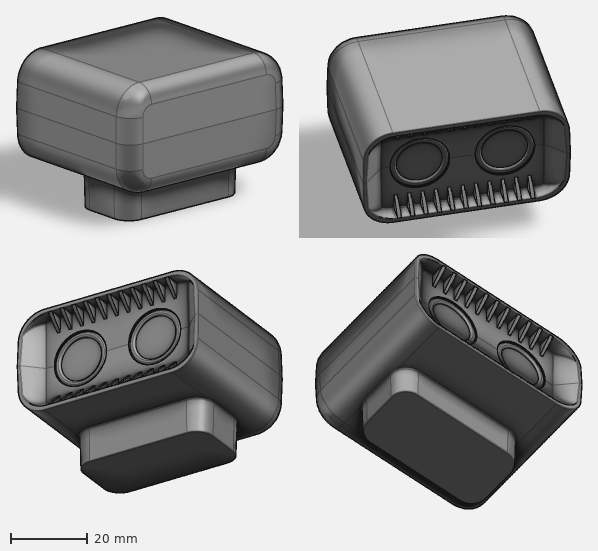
import cadquery as cq
import math

draft_angle = 1.5

body_width = 56.0
body_half_height = 15.0
back_x = 20.05
mouth_x = -25.25
body_corner_radius = 8.0
back_edge_radius = 5.0
mouth_edge_radius = 0.15

pocket_depth = 5.0
pocket_mouth_width = 54.0
pocket_half_height = 13.7
pocket_outline_width = 54.1
pocket_corner_radius = body_corner_radius
pocket_floor_draft = 1.5
pocket_inner_radius = 0.3
pocket_back_x = mouth_x + pocket_depth
mouth_overrun = 0.55

rib_count = 11
rib_row_length = 36.0
rib_root_thickness = 1.2
rib_draft_angle = 2.0
rib_tip_z = 9.2
rib_embed = 0.45

window_offset = 11.5
window_rim_radius = 8.05
window_radius = 7.9
bezel_radius = 7.45
opening_radius = 6.85
pane_radius = 6.2

stem_length = 20.0
stem_width = 40.0
stem_bottom_z = -25.0
stem_corner_radius = 5.0
stem_root_radius = 0.35
stem_edge_radius = 0.2


def mirrored_about_mid_plane(upper_half):
    return upper_half.union(upper_half.mirror("XY"))


def make_upper_body():
    upper_half = (
        cq.Workplane("XY")
        .center((mouth_x + back_x) / 2, 0)
        .rect(back_x - mouth_x, body_width)
        .extrude(body_half_height, taper=draft_angle)
    )
    upper_half = upper_half.faces(">Z").edges("|X").fillet(body_corner_radius)
    upper_half = upper_half.faces(">X").edges("not <Z").fillet(back_edge_radius)
    return upper_half


def make_stem():
    return (
        cq.Workplane("XY", origin=(0, 0, stem_bottom_z))
        .sketch()
        .rect(stem_length, stem_width)
        .vertices()
        .fillet(stem_corner_radius)
        .finalize()
        .extrude(-stem_bottom_z - body_half_height / 2, taper=-draft_angle)
        .faces("<Z")
        .edges()
        .fillet(stem_edge_radius)
    )


def make_upper_pocket():
    half_mouth = pocket_mouth_width / 2
    half_back = half_mouth - pocket_depth
    front_x = mouth_x - mouth_overrun
    half_front = half_mouth + mouth_overrun
    upper_wedge = (
        cq.Workplane("XY")
        .polyline([
            (front_x, -half_front),
            (pocket_back_x, -half_back),
            (pocket_back_x, half_back),
            (front_x, half_front),
        ])
        .close()
        .extrude(body_half_height, taper=draft_angle)
    )
    rounded_outline = (
        cq.Workplane("YZ", origin=(mouth_x, 0, 0))
        .sketch()
        .rect(pocket_outline_width, 2 * pocket_half_height)
        .vertices()
        .fillet(pocket_corner_radius)
        .finalize()
    )
    inner = rounded_outline.extrude(pocket_depth, taper=pocket_floor_draft)
    upper_half = upper_wedge.intersect(inner)
    inner_edges = upper_half.edges("not(<X or <Z)").edges("not |X")
    return inner_edges.fillet(pocket_inner_radius)


def make_shell():
    upper_half = make_upper_body().cut(make_upper_pocket())
    upper_half = upper_half.faces("<X").edges("not <Z").fillet(mouth_edge_radius)
    return mirrored_about_mid_plane(upper_half)


def make_ribs():
    tip_x = pocket_back_x + rib_embed
    lip_x = mouth_x + pocket_half_height * math.tan(math.radians(draft_angle))
    root_z = pocket_half_height + rib_embed
    spacing = rib_row_length / (rib_count - 1)
    slab_length = 2 * body_width
    triangles = (
        cq.Workplane("XZ")
        .polyline([
            (lip_x, pocket_half_height),
            (pocket_back_x, rib_tip_z),
            (tip_x, rib_tip_z),
            (tip_x, root_z),
            (lip_x + rib_embed, root_z),
        ])
        .close()
        .extrude(body_width / 2, both=True)
    )
    slabs = (
        cq.Workplane("XY", origin=(0, 0, root_z))
        .rarray(0.55, spacing, 1, rib_count)
        .rect(slab_length, rib_root_thickness)
        .extrude(rib_tip_z - root_z, taper=rib_draft_angle)
    )
    return mirrored_about_mid_plane(slabs.intersect(triangles))


def make_window_cut(y):
    rim_round = window_rim_radius - window_radius
    outer_round = window_radius - bezel_radius
    inner_round = opening_radius - pane_radius
    wall_x = pocket_back_x
    floor_x = wall_x + inner_round
    diagonal = math.sqrt(0.5)
    return (
        cq.Workplane("XY", origin=(0, y, 0))
        .moveTo(mouth_x, 0)
        .lineTo(floor_x, 0)
        .lineTo(floor_x, pane_radius)
        .threePointArc(
            (floor_x - inner_round * diagonal, opening_radius - inner_round * diagonal),
            (wall_x, opening_radius),
        )
        .lineTo(wall_x, bezel_radius)
        .threePointArc(
            (wall_x + outer_round * (1 - diagonal), bezel_radius + outer_round * diagonal),
            (wall_x + outer_round, window_radius),
        )
        .lineTo(wall_x + rim_round, window_radius)
        .threePointArc(
            (wall_x + rim_round * (1 - diagonal), window_rim_radius - rim_round * diagonal),
            (wall_x, window_rim_radius),
        )
        .lineTo(mouth_x, window_rim_radius)
        .close()
        .revolve(360, (0, 0, 0), (1, 0, 0))
    )


joint_box = cq.selectors.BoxSelector(
    (-stem_length, -stem_width, -body_half_height - stem_root_radius),
    (stem_length, stem_width, -body_half_height + 2 * stem_root_radius),
    boundingbox=True,
)
result = make_shell().union(make_stem())
result = result.edges(joint_box).fillet(stem_root_radius)
result = result.union(make_ribs())
for window_y in (-window_offset, window_offset):
    result = result.cut(make_window_cut(window_y))